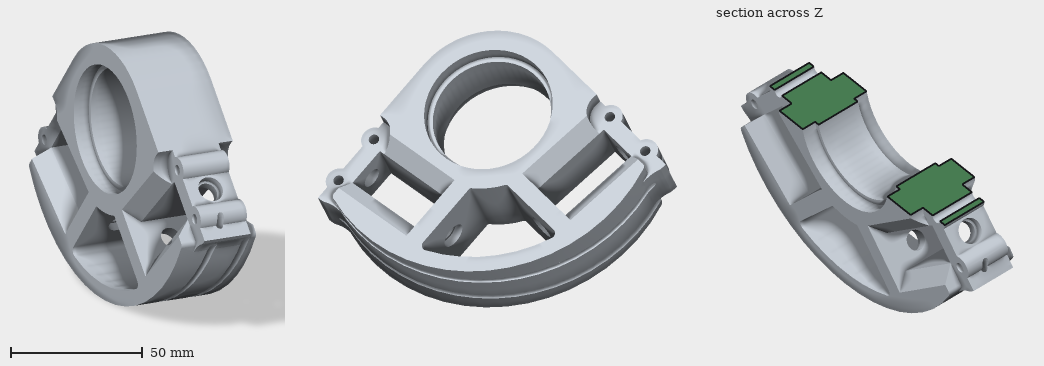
import cadquery as cq
import math

LENGTH = 135.1
DEPTH = 32.2
HUB_RADIUS = 33.1
RIM_RADIUS = 67.8
ARM_SLOPE = math.radians(49.0)

BORE_DIAMETER = 46.0
SEAT_DIAMETER = 50.0
SEAT_DEPTH = 6.2

CLAMP_WIDTH = 19.9
ARM_INNER = 26.2
BOSS_OUT = 31.4
BOSS_ALONG = (33.8, 54.7)
BOSS_DIAMETER = 10.0
PIN_DIAMETER = 4.0
CLEARANCE_RADIUS = 7.7
TIP_THICKNESS = 2.7
TIP_ROOT = (58.8, -33.9)
TIP_BLEND_MIDDLE = (62.6, -30.5)
CHEEK_CORNER_RADIUS = 1.9

POCKET_ALONG = sum(BOSS_ALONG) / 2
POCKET_HALF_WIDTH = 8.1
POCKET_FLOOR = -8.6

SCREW_DIAMETER = 8.0
SCREW_HEAD_DIAMETER = 10.0
SCREW_HEAD_DEPTH = 3.4

STRUT_THICKNESS = 7.2
WINDOW_RADIUS = 61.8
WINDOW_LOWER_FILLET = 2.2
WINDOW_UPPER_FILLET = 0.8

GROOVE_DIAMETER = 3.0
GROOVE_PITCH = 28.4
GROOVE_SWING = 80.0

CUT_MARGIN = 13.5
SELECT_MARGIN = 1.4

ALONG_X = math.cos(ARM_SLOPE)
ALONG_Z = -math.sin(ARM_SLOPE)
OUT_X = math.sin(ARM_SLOPE)
OUT_Z = math.cos(ARM_SLOPE)
TIP_ALONG = (LENGTH / 2 - HUB_RADIUS * OUT_X) / ALONG_X
STRUT_WINDOW_FACE = POCKET_FLOOR - STRUT_THICKNESS
CHEEK_DEPTH = (DEPTH - CLAMP_WIDTH) / 2

ARM_PLANE = cq.Plane(origin=(0, 0, 0), xDir=(ALONG_X, 0, ALONG_Z), normal=(0, -1, 0))


def arm_point(along, out):
    """X, Z position of a point given in right-hand arm directions."""
    return (along * ALONG_X + out * OUT_X, along * ALONG_Z + out * OUT_Z)


def arm_sketch():
    return cq.Workplane(ARM_PLANE)


def both_sides(solid):
    return solid.union(solid.mirror("YZ"))


def make_body():
    """Hub dome, straight flanks and round rim."""
    flank_top = arm_point(0, HUB_RADIUS)
    flank_end = arm_point(math.sqrt(RIM_RADIUS**2 - HUB_RADIUS**2), HUB_RADIUS)
    return (
        cq.Workplane("XZ")
        .moveTo(-flank_top[0], flank_top[1])
        .threePointArc((0, HUB_RADIUS), flank_top)
        .lineTo(*flank_end)
        .threePointArc((0, -RIM_RADIUS), (-flank_end[0], flank_end[1]))
        .close()
        .extrude(DEPTH / 2, both=True)
    )


def make_cheek_relief():
    """Right-hand steps in front and behind the arm that leave the clamp width standing."""
    slot_start = BOSS_ALONG[0] - CLEARANCE_RADIUS
    slot_length = TIP_ALONG + CUT_MARGIN - slot_start
    slot = (
        arm_sketch()
        .moveTo(slot_start, BOSS_OUT)
        .rect(slot_length, CUT_MARGIN, centered=False)
        .extrude(DEPTH, both=True)
    )
    ledge = (
        arm_sketch()
        .moveTo(BOSS_ALONG[0], ARM_INNER)
        .rect(TIP_ALONG + CUT_MARGIN - BOSS_ALONG[0], CUT_MARGIN, centered=False)
        .extrude(DEPTH, both=True)
    )
    clearance = (
        arm_sketch()
        .center(BOSS_ALONG[0], BOSS_OUT)
        .circle(CLEARANCE_RADIUS)
        .extrude(DEPTH, both=True)
    )
    clamp_zone = cq.Workplane("XY").box(2 * LENGTH, CLAMP_WIDTH, 2 * LENGTH)
    return slot.union(ledge).union(clearance).cut(clamp_zone)


def round_cheek_corners(body):
    """Round the cheek corners where the ledges meet the rim."""
    corner_x, corner_z = arm_point(math.sqrt(RIM_RADIUS**2 - ARM_INNER**2), ARM_INNER)
    for side in (-1, 1):
        near = (side * corner_x - SELECT_MARGIN, -DEPTH, corner_z - SELECT_MARGIN)
        far = (side * corner_x + SELECT_MARGIN, DEPTH, corner_z + SELECT_MARGIN)
        corner = cq.selectors.BoxSelector(near, far)
        body = body.edges("|Y").edges(corner).fillet(CHEEK_CORNER_RADIUS)
    return body


def make_clamp():
    """Right-hand arm tip and the two pin bosses."""
    clamp = (
        cq.Workplane("XZ")
        .moveTo(*arm_point(BOSS_ALONG[1], HUB_RADIUS))
        .lineTo(*arm_point(TIP_ALONG, HUB_RADIUS))
        .lineTo(*arm_point(TIP_ALONG, HUB_RADIUS - TIP_THICKNESS))
        .threePointArc(TIP_BLEND_MIDDLE, TIP_ROOT)
        .lineTo(*arm_point(BOSS_ALONG[1], ARM_INNER))
        .close()
        .extrude(CLAMP_WIDTH / 2, both=True)
    )
    bosses = (
        arm_sketch()
        .pushPoints([(along, BOSS_OUT) for along in BOSS_ALONG])
        .circle(BOSS_DIAMETER / 2)
        .extrude(CLAMP_WIDTH / 2, both=True)
    )
    return clamp.union(bosses)


def make_pin_holes():
    return (
        arm_sketch()
        .pushPoints([(along, BOSS_OUT) for along in BOSS_ALONG])
        .circle(PIN_DIAMETER / 2)
        .extrude(DEPTH, both=True)
    )


def arm_cross_plane(out):
    """Plane square to the outward direction, centred on the right-hand pocket."""
    x, z = arm_point(POCKET_ALONG, out)
    return cq.Plane(origin=(x, 0, z), xDir=(ALONG_X, 0, ALONG_Z), normal=(OUT_X, 0, OUT_Z))


def make_pocket():
    """Right-hand pocket, straight across the clamp width and flared through both cheeks."""
    inner_y = CLAMP_WIDTH / 2
    outer_y = DEPTH / 2
    flared = POCKET_HALF_WIDTH + CHEEK_DEPTH
    straight = POCKET_HALF_WIDTH
    profile = [
        (-flared, -outer_y),
        (flared, -outer_y),
        (straight, -inner_y),
        (straight, inner_y),
        (flared, outer_y),
        (-flared, outer_y),
        (-straight, inner_y),
        (-straight, -inner_y),
    ]
    return (
        cq.Workplane(arm_cross_plane(POCKET_FLOOR))
        .polyline(profile)
        .close()
        .extrude(ARM_INNER - POCKET_FLOOR)
    )


def make_screw_hole():
    """Right-hand screw hole through arm and strut, counterbored at both far ends."""
    outer_face = cq.Workplane(arm_cross_plane(HUB_RADIUS))
    window_face = cq.Workplane(arm_cross_plane(STRUT_WINDOW_FACE))
    shank = window_face.circle(SCREW_DIAMETER / 2).extrude(HUB_RADIUS - STRUT_WINDOW_FACE)
    outer_head = outer_face.circle(SCREW_HEAD_DIAMETER / 2).extrude(-SCREW_HEAD_DEPTH)
    inner_head = window_face.circle(SCREW_HEAD_DIAMETER / 2).extrude(SCREW_HEAD_DEPTH)
    return shank.union(outer_head).union(inner_head)


def make_window():
    """Opening between the hub, the rim and the struts, with rounded corners."""
    upper = arm_point(math.sqrt(HUB_RADIUS**2 - STRUT_WINDOW_FACE**2), STRUT_WINDOW_FACE)
    lower = arm_point(math.sqrt(WINDOW_RADIUS**2 - STRUT_WINDOW_FACE**2), STRUT_WINDOW_FACE)
    window = (
        cq.Workplane("XZ")
        .moveTo(-upper[0], upper[1])
        .threePointArc((0, -HUB_RADIUS), upper)
        .lineTo(*lower)
        .threePointArc((0, -WINDOW_RADIUS), (-lower[0], lower[1]))
        .close()
        .extrude(DEPTH, both=True)
    )
    window = window.edges("|Y").edges(">X or <X").fillet(WINDOW_LOWER_FILLET)
    upper_zone = cq.selectors.BoxSelector(
        (-upper[0] - SELECT_MARGIN, -2 * DEPTH, upper[1] - SELECT_MARGIN),
        (upper[0] + SELECT_MARGIN, 2 * DEPTH, upper[1] + SELECT_MARGIN),
    )
    return window.edges("|Y").edges(upper_zone).fillet(WINDOW_UPPER_FILLET)


def make_bore():
    """Through bore and the two end seats."""
    bore = cq.Workplane("XZ", origin=(0, DEPTH / 2, 0)).circle(BORE_DIAMETER / 2).extrude(DEPTH)
    for seat_start in (-DEPTH / 2 + SEAT_DEPTH, DEPTH / 2):
        seat = (
            cq.Workplane("XZ", origin=(0, seat_start, 0))
            .circle(SEAT_DIAMETER / 2)
            .extrude(SEAT_DEPTH)
        )
        bore = bore.union(seat)
    return bore


def make_groove(lowest_y):
    """Round groove along a helix on the rim; it advances toward +Y from left to right."""
    rise = GROOVE_PITCH * 2 * GROOVE_SWING / 360
    helix = cq.Wire.makeHelix(GROOVE_PITCH, rise, RIM_RADIUS, lefthand=True)
    start = cq.Plane(origin=(RIM_RADIUS, 0, 0), xDir=(1, 0, 0), normal=(0, 1, 0))
    groove = (
        cq.Workplane(start)
        .circle(GROOVE_DIAMETER / 2)
        .sweep(cq.Workplane(obj=helix), isFrenet=True)
    )
    groove = groove.rotate((0, 0, 0), (1, 0, 0), -90)
    groove = groove.rotate((0, 0, 0), (0, 1, 0), GROOVE_SWING - 270)
    return groove.translate((0, lowest_y - rise / 2, 0))


result = make_body().cut(both_sides(make_cheek_relief()))
result = round_cheek_corners(result)
result = result.union(both_sides(make_clamp()))
result = result.cut(both_sides(make_pocket()))
result = result.cut(both_sides(make_screw_hole()))
result = result.cut(both_sides(make_pin_holes()))
result = result.cut(make_window()).cut(make_bore())
for groove_y in (-GROOVE_PITCH / 4, GROOVE_PITCH / 4):
    result = result.cut(make_groove(groove_y))